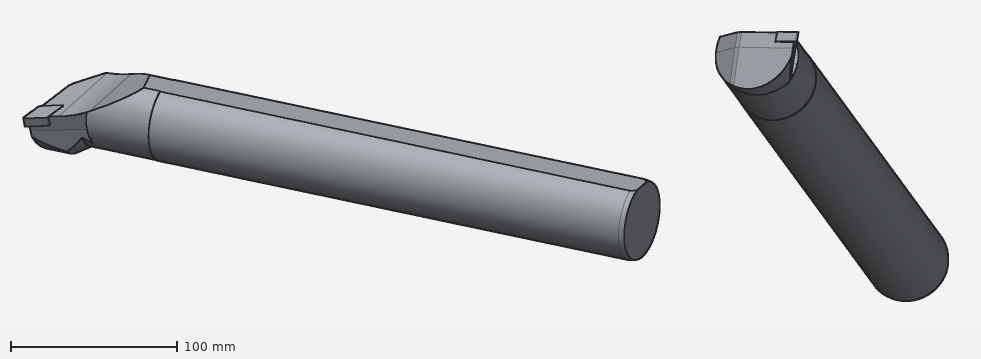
import cadquery as cq
import math

TOTAL_LENGTH = 399.5
HEAD_LENGTH = 80.0
SHANK_RADIUS = 24.97
HEAD_RADIUS = 24.8
FLAT_HEIGHT = 23.0
CHAMFER_LENGTH = 3.5
CHAMFER_DEPTH = 0.8

NOSE_RADIUS = 27.5
NOSE_CENTRE = (-4.8, -2.0)
NOSE_LENGTH = 24.0
BLEND_END = 33.5

RAKE_HEIGHT = 6.0
RAKE_ANGLE_X = 3.5
RAKE_ANGLE_Y = 11.0

RAMP_START = 34.0
RAMP_ANGLE = 22.0
RAMP_TURN = -10.0
RAMP_BLEND_RADIUS = 48.0

TIP_X = -0.8
TIP_Y = -35.5
INSERT_SIDE = 15.5
INSERT_EDGE_ANGLE = 18.0
INSERT_POINT_ANGLE = 55.0
INSERT_THICKNESS = 6.0
INSERT_CORNER_RADIUS = 0.8

BAND_DEPTH = 9.5
RELIEF_DEPTH = 50.0
RELIEF_SHIFT = (4.0, -0.8)
CLEARANCE = 120.0
RUNOUT_X = 37.5
OUTLINE_HALF_WIDTH = 48.0
HEAD_OUTLINE = [
    (2.0, -32.8),
    (RUNOUT_X, -23.5),
    (RUNOUT_X, -OUTLINE_HALF_WIDTH),
    (CLEARANCE, -OUTLINE_HALF_WIDTH),
    (CLEARANCE, OUTLINE_HALF_WIDTH),
    (54.0, OUTLINE_HALF_WIDTH),
    (31.0, 24.8),
    (14.0, 7.0),
    (12.0, 4.0),
]

rake_slope_x = math.tan(math.radians(RAKE_ANGLE_X))
rake_slope_y = math.tan(math.radians(RAKE_ANGLE_Y))
rake_plane = cq.Plane(
    origin=(0, 0, RAKE_HEIGHT),
    xDir=(1, 0, rake_slope_x),
    normal=(-rake_slope_x, -rake_slope_y, 1),
)


def along_x(radius, start, end):
    """Round bar about the X axis."""
    return cq.Workplane("YZ", origin=(start, 0, 0)).circle(radius).extrude(end - start)


def make_shank():
    shank = along_x(SHANK_RADIUS, HEAD_LENGTH, TOTAL_LENGTH)
    return shank.faces(">X").edges().chamfer(CHAMFER_LENGTH, CHAMFER_DEPTH)


def make_head_blank():
    """Round head, enlarged at the nose and blended back into the bar by a cone."""
    neck = along_x(HEAD_RADIUS, 0, HEAD_LENGTH)
    nose = cq.Workplane("YZ").center(*NOSE_CENTRE).circle(NOSE_RADIUS).extrude(NOSE_LENGTH)
    blend = (
        cq.Workplane("YZ", origin=(NOSE_LENGTH, 0, 0))
        .center(*NOSE_CENTRE)
        .circle(NOSE_RADIUS)
        .workplane(offset=BLEND_END - NOSE_LENGTH)
        .center(-NOSE_CENTRE[0], -NOSE_CENTRE[1])
        .circle(HEAD_RADIUS)
        .loft()
    )
    return neck.union(nose).union(blend)


def make_head_envelope():
    """Side walls of the head, square to the rake plane and then leaning back from the tip."""
    band = (
        cq.Workplane(rake_plane)
        .workplane(offset=-BAND_DEPTH)
        .polyline(HEAD_OUTLINE)
        .close()
        .extrude(BAND_DEPTH + CLEARANCE)
    )
    relief = (
        cq.Workplane(rake_plane)
        .workplane(offset=-BAND_DEPTH)
        .polyline(HEAD_OUTLINE)
        .close()
        .workplane(offset=-RELIEF_DEPTH)
        .center(*RELIEF_SHIFT)
        .polyline(HEAD_OUTLINE)
        .close()
        .loft(ruled=True)
    )
    return band.union(relief)


def make_chip_scoop():
    """Everything above the rake plane, up to a ramp with a rounded foot."""
    ramp_plane = rake_plane.rotated((0, 0, RAMP_TURN))
    scoop_plane = cq.Plane(
        origin=rake_plane.origin, xDir=ramp_plane.xDir, normal=-ramp_plane.yDir
    )
    turn = math.radians(RAMP_ANGLE)
    foot = RAMP_BLEND_RADIUS * math.tan(turn / 2)
    ramp_top = (RAMP_START + CLEARANCE * math.cos(turn), CLEARANCE * math.sin(turn))
    blend_middle = (
        RAMP_START - foot + RAMP_BLEND_RADIUS * math.sin(turn / 2),
        RAMP_BLEND_RADIUS * (1 - math.cos(turn / 2)),
    )
    blend_end = (RAMP_START + foot * math.cos(turn), foot * math.sin(turn))
    return (
        cq.Workplane(scoop_plane)
        .moveTo(-CLEARANCE, 0)
        .lineTo(RAMP_START - foot, 0)
        .threePointArc(blend_middle, blend_end)
        .lineTo(*ramp_top)
        .lineTo(-CLEARANCE, ramp_top[1])
        .close()
        .extrude(CLEARANCE, both=True)
    )


def make_insert():
    front = math.radians(INSERT_EDGE_ANGLE)
    back = math.radians(INSERT_EDGE_ANGLE + INSERT_POINT_ANGLE)
    front_edge = (INSERT_SIDE * math.cos(front), INSERT_SIDE * math.sin(front))
    back_edge = (INSERT_SIDE * math.cos(back), INSERT_SIDE * math.sin(back))
    diamond = [
        (TIP_X, TIP_Y),
        (TIP_X + front_edge[0], TIP_Y + front_edge[1]),
        (TIP_X + front_edge[0] + back_edge[0], TIP_Y + front_edge[1] + back_edge[1]),
        (TIP_X + back_edge[0], TIP_Y + back_edge[1]),
    ]
    return (
        cq.Workplane(rake_plane)
        .polyline(diamond)
        .close()
        .extrude(-INSERT_THICKNESS)
        .edges(cq.selectors.ParallelDirSelector(rake_plane.zDir))
        .fillet(INSERT_CORNER_RADIUS)
    )


def make_holder(insert):
    """Bar and head in one piece, with the flat, the chip scoop and the insert pocket."""
    head = make_head_blank()
    above_flat = (
        cq.Workplane("XY", origin=(0, 0, FLAT_HEIGHT))
        .rect(2 * TOTAL_LENGTH + CLEARANCE, CLEARANCE)
        .extrude(CLEARANCE)
    )
    holder = make_shank().union(head.intersect(make_head_envelope()))
    return holder.cut(above_flat).cut(make_chip_scoop()).cut(insert)


insert = make_insert()
holder = make_holder(insert)
result = cq.Compound.makeCompound([holder.val(), insert.val()])